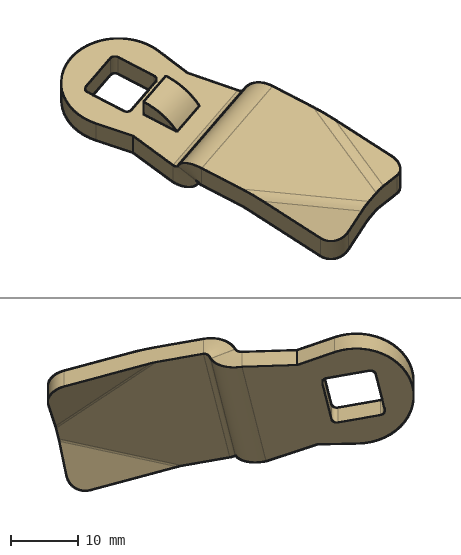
import cadquery as cq
import math

length = 54.0
width = 19.0
thickness = 4.0
height = 2 * thickness

head_radius = 8.55
neck_x = 16.0
neck_half_width = 7.3
neck_flare_angle = 9.7
corner_radius = 3.0

hole_center_x = 8.95
hole_size = 8.1
hole_corner_radius = 0.8

lug_start_x = 15.0
lug_length = 6.0
lug_width = 6.0
lug_height = 2.95

bend_outer_radius = 5.0
bend_inner_radius = bend_outer_radius - thickness
step_start_x = 24.1
bend_steps = 6

crease_end_y = 0.95
crease_angle = math.degrees(math.atan(0.5))
wing_angle = 20.0

step_center_distance = bend_outer_radius + bend_inner_radius
step_center_drop = 2 * bend_outer_radius - height
step_run = math.sqrt(step_center_distance**2 - step_center_drop**2)
step_end_x = step_start_x + step_run
low_center = (step_start_x, bend_outer_radius)
high_center = (step_end_x, height - bend_outer_radius)
joint_angle = -math.degrees(math.asin(step_center_drop / step_center_distance))
bend_sweep = 90 + joint_angle

flare_slope = math.tan(math.radians(neck_flare_angle))
step_start_half_width = neck_half_width + (step_start_x - neck_x) * flare_slope
joint_half_width = step_start_half_width + bend_inner_radius * math.radians(bend_sweep) * flare_slope


def polar(center, radius, degrees):
    angle = math.radians(degrees)
    return (center[0] + radius * math.cos(angle), center[1] + radius * math.sin(angle))


def mirror_y(point):
    return (point[0], -point[1])


def low_plate():
    """Low plate with a round head, a waisted neck and a straight flare."""
    head_center = (head_radius, 0)
    neck = (neck_x, neck_half_width)
    neck_distance = math.hypot(neck_x - head_radius, neck_half_width)
    neck_direction = math.degrees(math.atan2(neck_half_width, neck_x - head_radius))
    tangent_angle = neck_direction + math.degrees(math.acos(head_radius / neck_distance))
    head_tangent = polar(head_center, head_radius, tangent_angle)
    flare = (step_start_x, step_start_half_width)
    return (
        cq.Workplane("XY")
        .moveTo(*mirror_y(head_tangent))
        .threePointArc((0, 0), head_tangent)
        .lineTo(*neck)
        .lineTo(*flare)
        .lineTo(*mirror_y(flare))
        .lineTo(*mirror_y(neck))
        .close()
        .extrude(thickness)
    )


def bend(center, start_angle, end_angle, half_width_at):
    """Curved stretch whose half-width follows half_width_at(fraction of the sweep)."""
    middle_angle = (start_angle + end_angle) / 2
    ring = (
        cq.Workplane("XZ")
        .moveTo(*polar(center, bend_inner_radius, start_angle))
        .lineTo(*polar(center, bend_outer_radius, start_angle))
        .threePointArc(
            polar(center, bend_outer_radius, middle_angle),
            polar(center, bend_outer_radius, end_angle),
        )
        .lineTo(*polar(center, bend_inner_radius, end_angle))
        .threePointArc(
            polar(center, bend_inner_radius, middle_angle),
            polar(center, bend_inner_radius, start_angle),
        )
        .close()
        .extrude(width / 2, both=True)
    )

    sections = []
    for step in range(bend_steps + 1):
        fraction = step / bend_steps
        angle = start_angle + fraction * (end_angle - start_angle)
        half_width = half_width_at(fraction)
        inner_x, inner_z = polar(center, bend_inner_radius / 2, angle)
        outer_x, outer_z = polar(center, bend_outer_radius + bend_inner_radius, angle)
        corners = [
            cq.Vector(inner_x, -half_width, inner_z),
            cq.Vector(outer_x, -half_width, outer_z),
            cq.Vector(outer_x, half_width, outer_z),
            cq.Vector(inner_x, half_width, inner_z),
        ]
        sections.append(cq.Wire.makePolygon(corners, close=True))
    return ring.intersect(cq.Workplane(cq.Solid.makeLoft(sections)))


def low_half_width(fraction):
    """Straight flare carried on along the low bend."""
    return step_start_half_width + fraction * (joint_half_width - step_start_half_width)


def high_half_width(fraction):
    """Flare that eases into the straight sides of the high plate."""
    ease = math.sin(fraction * math.pi / 2)
    return joint_half_width + ease * (width / 2 - joint_half_width)


def folded_half():
    """Half of the high plate on the +Y side, with its wing folded down."""
    center = (0, height - bend_outer_radius)
    roll_end = 90 - wing_angle
    roll_middle = 90 - wing_angle / 2
    reach = length
    top_end = polar(center, bend_outer_radius, roll_end)
    bottom_end = polar(center, bend_inner_radius, roll_end)
    wing_run = reach * math.cos(math.radians(wing_angle))
    wing_drop = reach * math.sin(math.radians(wing_angle))

    angle = math.radians(crease_angle)
    outward = (math.sin(angle), math.cos(angle), 0)
    along_crease = (math.cos(angle), -math.sin(angle), 0)
    section_plane = cq.Plane((length, crease_end_y, 0), outward, along_crease)
    sheet = (
        cq.Workplane(section_plane)
        .moveTo(-reach, height)
        .lineTo(0, height)
        .threePointArc(polar(center, bend_outer_radius, roll_middle), top_end)
        .lineTo(top_end[0] + wing_run, top_end[1] - wing_drop)
        .lineTo(bottom_end[0] + wing_run, bottom_end[1] - wing_drop)
        .lineTo(*bottom_end)
        .threePointArc(polar(center, bend_inner_radius, roll_middle), (0, thickness))
        .lineTo(-reach, thickness)
        .close()
        .extrude(reach, both=True)
    )
    quarter = cq.Workplane("XY").box(length - step_end_x, width / 2, height, centered=False)
    return sheet.intersect(quarter.translate((step_end_x, 0, 0)))


def square_hole():
    return (
        cq.Workplane("XY")
        .center(hole_center_x, 0)
        .rect(hole_size, hole_size)
        .extrude(thickness)
        .edges("|Z")
        .fillet(hole_corner_radius)
    )


def stop_lug():
    """Lug with an upright face and a rounded back sloping to the plate."""
    radius = (lug_length**2 + lug_height**2) / (2 * lug_height)
    lug_top = thickness + lug_height
    half_sweep = math.degrees(math.asin(lug_length / radius)) / 2
    middle = polar((lug_start_x, lug_top - radius), radius, 90 - half_sweep)
    return (
        cq.Workplane("XZ")
        .moveTo(lug_start_x, thickness)
        .lineTo(lug_start_x, lug_top)
        .threePointArc(middle, (lug_start_x + lug_length, thickness))
        .close()
        .extrude(lug_width / 2, both=True)
    )


def high_plate():
    """High plate with both wings folded down and its far corners rounded."""
    half = folded_half()
    outline = (
        cq.Workplane("XY")
        .box(length, width, height, centered=(False, True, False))
        .edges("|Z and >X")
        .fillet(corner_radius)
    )
    return half.union(half.mirror("XZ")).intersect(outline)


low_bend = bend(low_center, -90, joint_angle, low_half_width)
high_bend = bend(high_center, 180 + joint_angle, 90, high_half_width)
lever = low_plate().union(low_bend).union(high_bend).union(high_plate())
result = lever.cut(square_hole()).union(stop_lug())